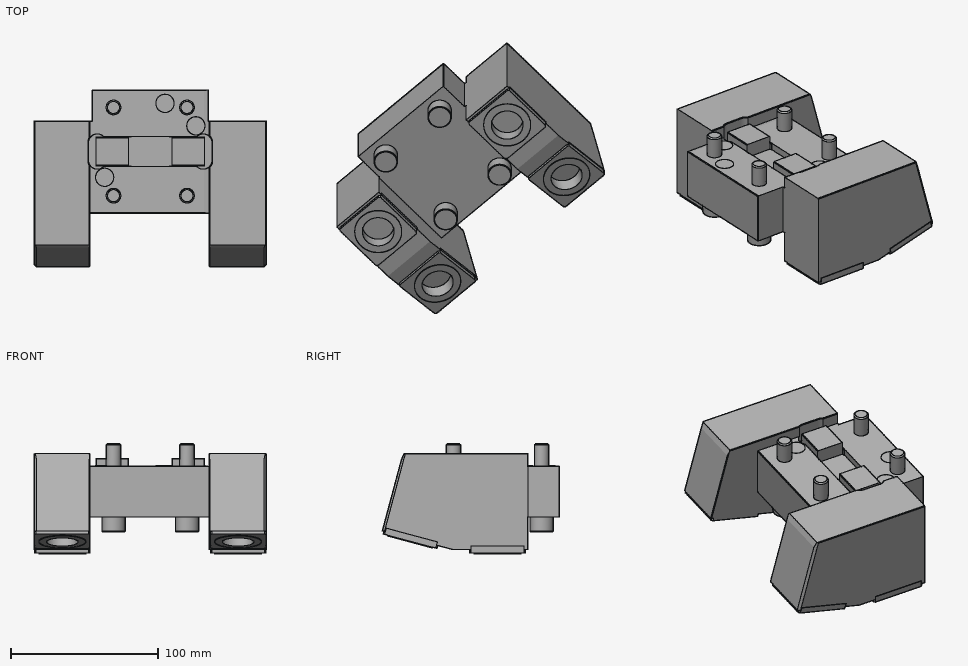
import cadquery as cq
import math

overall_width = 158.0
edge_break = 0.5

plate_thickness = 35.0
plate_half_width = 39.5
plate_half_depth = 42.0
ramp_width = 2.9
ramp_drop = 0.4

outer_x = overall_width / 2
left_inner_x = 41.0
right_inner_x = 40.0
arm_back_y = 20.7
arm_top_z = 8.4
arm_bottom_z = -57.0
arm_knee_y = -30.7
arm_tip_y = -78.42
tilt = 15.0
arm_tip_z = arm_bottom_z + (arm_knee_y - arm_tip_y) * math.tan(math.radians(tilt))
top_chamfer_height = 4.0
top_chamfer_setback = 1.9
front_bevel = 1.6

pad_center_x = 59.8
pad_width = 37.6
pad_length = 38.0
pad_corner = 1.0
pad_rise = 2.4
flat_pad_drop = 2.5
tilted_pad_drop = 2.0
tilted_pad_from_tip = 20.2
disc_diameter = 32.0
disc_height = 0.5
pad_hole_diameter = 21.5
pad_hole_depth = 10.0

slot_depth = 5.0
slot_width = 19.6
slot_middle_width = slot_width + 2 * edge_break
slot_middle_length = 26.0
relief_width = 24.0
relief_end_x = 42.0
relief_radius = 6.0
key_height = 5.0
key_length = 22.0
key_center_x = 25.9

screw_x = 25.0
screw_y = 30.0
screw_diameter = 10.0
screw_projection = 15.0
screw_tip_chamfer = 0.9
head_diameter = 16.0
head_height = 10.0
head_chamfer = 0.5
plug_diameter = 12.4
plug_height = 0.1
plug_positions = [(10.0, 32.8), (31.0, 17.5), (-31.0, -17.5)]


def box(x0, x1, y0, y1, z0, z1):
    """Axis-aligned block between two corners."""
    return cq.Workplane("XY").box(x1 - x0, y1 - y0, z1 - z0, centered=False).translate((x0, y0, z0))


def make_plate():
    """Plate with a slightly sloped +X top edge, widened between the arms to meet them."""
    ramp_start_x = plate_half_width - ramp_width
    plate = (
        cq.Workplane("XZ", origin=(0, plate_half_depth, 0))
        .moveTo(-plate_half_width, -plate_thickness)
        .lineTo(plate_half_width, -plate_thickness)
        .lineTo(plate_half_width, -ramp_drop)
        .lineTo(ramp_start_x, 0)
        .lineTo(-plate_half_width, 0)
        .close()
        .extrude(2 * plate_half_depth)
    )
    left_joint = box(-left_inner_x, -plate_half_width, -plate_half_depth, arm_back_y, -plate_thickness, 0)
    right_joint = box(
        plate_half_width, right_inner_x, -plate_half_depth, arm_back_y, -plate_thickness, -ramp_drop
    )
    plate = plate.union(left_joint).union(right_joint)
    plate = plate.faces(">Z").edges("|X and (<Y or >Y)").chamfer(edge_break)
    back_left_edge = cq.selectors.NearestToPointSelector(
        (-plate_half_width, plate_half_depth, -plate_thickness / 2)
    )
    return plate.edges("|Z").edges(back_left_edge).chamfer(edge_break)


def make_relief(side):
    """Round-cornered pocket at one end of the key slot, from the slot floor to the top of the arms."""
    center_x = side * (relief_end_x - relief_radius)
    return (
        cq.Workplane("XY", origin=(center_x, 0, -slot_depth))
        .slot2D(relief_width, 2 * relief_radius, 90)
        .extrude(slot_depth + arm_top_z)
    )


def make_front_bevel(edge_x, inward, size):
    """Triangular cutter running up the sloping front face along one side edge; inward is -1 or +1 in X."""
    half_length = 2 * (arm_top_z - arm_bottom_z)
    return (
        cq.Workplane("XY", origin=(0, 0, -half_length))
        .moveTo(edge_x, size)
        .lineTo(edge_x + inward * size, 0)
        .lineTo(edge_x, 0)
        .close()
        .extrude(2 * half_length)
        .rotate((0, 0, 0), (1, 0, 0), -tilt)
        .translate((0, arm_tip_y, arm_tip_z))
    )


def make_pad(center, angle, drop):
    """Foot pad, its clearance seat and its hole, hung on an underside tilted by the given angle."""
    def place(shape):
        return shape.rotate((0, 0, 0), (1, 0, 0), -angle).translate(center)

    pad = (
        cq.Workplane("XY", origin=(0, 0, -drop))
        .rect(pad_width, pad_length)
        .extrude(drop + pad_rise)
        .edges("|Z")
        .chamfer(pad_corner)
    )
    disc = (
        cq.Workplane("XY", origin=(0, 0, -drop - disc_height))
        .circle(disc_diameter / 2)
        .extrude(disc_height)
    )
    seat = cq.Workplane("XY").rect(overall_width / 2, pad_length - 2 * pad_corner).extrude(pad_rise)
    hole = (
        cq.Workplane("XY", origin=(0, 0, -drop - disc_height))
        .circle(pad_hole_diameter / 2)
        .extrude(pad_hole_depth)
    )
    return place(pad.union(disc)), place(seat), place(hole)


def make_arm(inner_x, side):
    """One arm with both foot pads; side is -1 for the -X arm and +1 for the +X arm."""
    slope = math.tan(math.radians(tilt))
    chamfer_z = arm_top_z - top_chamfer_height
    chamfer_y = arm_tip_y + (chamfer_z - arm_tip_z) * slope
    start_x = min(side * inner_x, side * outer_x)
    arm = (
        cq.Workplane("YZ", origin=(start_x, 0, 0))
        .moveTo(arm_back_y, arm_bottom_z)
        .lineTo(arm_back_y, arm_top_z)
        .lineTo(chamfer_y + top_chamfer_setback, arm_top_z)
        .lineTo(chamfer_y, chamfer_z)
        .lineTo(arm_tip_y, arm_tip_z)
        .lineTo(arm_knee_y, arm_bottom_z)
        .close()
        .extrude(outer_x - inner_x)
    )

    arm = arm.cut(make_relief(side))
    arm = arm.faces(">Z").edges("not |X").chamfer(edge_break)
    arm = arm.cut(make_front_bevel(side * outer_x, -side, front_bevel))
    arm = arm.cut(make_front_bevel(side * inner_x, side, edge_break))

    pad_x = side * pad_center_x
    tilted_center = (
        pad_x,
        arm_tip_y + tilted_pad_from_tip * math.cos(math.radians(tilt)),
        arm_tip_z - tilted_pad_from_tip * math.sin(math.radians(tilt)),
    )
    flat_pad = make_pad((pad_x, 0, arm_bottom_z), 0, flat_pad_drop)
    tilted_pad = make_pad(tilted_center, tilt, tilted_pad_drop)
    for pad, seat, hole in (flat_pad, tilted_pad):
        arm = arm.cut(seat).union(pad).cut(hole)
    return arm


def cut_key_slot(body):
    """Key slot with broken top edges, a wider middle stretch and round-cornered ends."""
    half_slot = slot_width / 2
    half_middle = slot_middle_width / 2
    half_length = slot_middle_length / 2
    slot_end_x = relief_end_x - relief_radius
    slot = (
        cq.Workplane("YZ", origin=(-slot_end_x, 0, 0))
        .moveTo(-half_slot, -slot_depth)
        .lineTo(half_slot, -slot_depth)
        .lineTo(half_slot, -edge_break)
        .lineTo(half_middle, 0)
        .lineTo(-half_middle, 0)
        .lineTo(-half_slot, -edge_break)
        .close()
        .extrude(2 * slot_end_x)
    )
    middle = box(-half_length, half_length, -half_middle, half_middle, -slot_depth, 0)
    body = body.cut(slot).cut(middle)
    for side in (-1, 1):
        body = body.cut(make_relief(side))
    return body


def make_key(side):
    """Rectangular key standing in the slot."""
    return (
        cq.Workplane("XY", origin=(side * key_center_x, 0, -slot_depth))
        .rect(key_length, slot_width)
        .extrude(slot_depth + key_height)
        .edges(">Z and |X")
        .chamfer(edge_break)
    )


def make_screw(x, y):
    """Cap screw: head under the plate, chamfered tip above it."""
    shank = (
        cq.Workplane("XY", origin=(x, y, -plate_thickness))
        .circle(screw_diameter / 2)
        .extrude(plate_thickness + screw_projection)
        .faces(">Z")
        .chamfer(screw_tip_chamfer)
    )
    head = (
        cq.Workplane("XY", origin=(x, y, -plate_thickness - head_height))
        .circle(head_diameter / 2)
        .extrude(head_height)
        .faces("<Z")
        .chamfer(head_chamfer)
    )
    return shank.union(head)


def make_plug(x, y):
    """Round plug standing just proud of the plate top."""
    depth = ramp_drop + plug_height
    return cq.Workplane("XY", origin=(x, y, -ramp_drop)).circle(plug_diameter / 2).extrude(depth)


body = make_plate().union(make_arm(left_inner_x, -1)).union(make_arm(right_inner_x, 1))
body = cut_key_slot(body)
for x, y in plug_positions:
    body = body.union(make_plug(x, y))
for side_x in (-1, 1):
    body = body.union(make_key(side_x))
    for side_y in (-1, 1):
        body = body.union(make_screw(side_x * screw_x, side_y * screw_y))

result = body